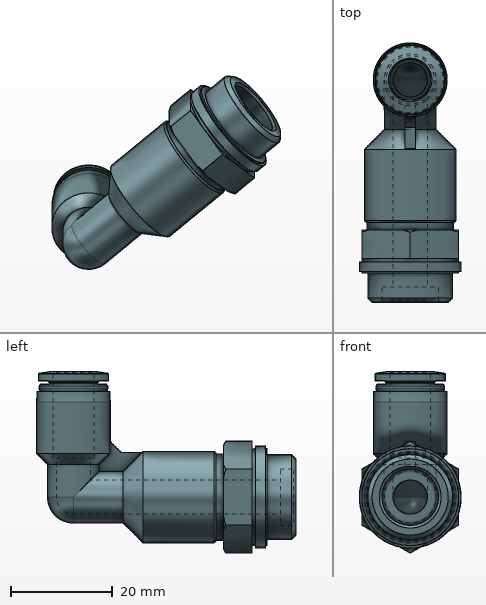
import cadquery as cq
import math


tube_dia = 10.2
bore_dia = 6.7

body_dia = 18.0
body_start = 13.65
body_end = 27.6
shoulder_start = body_start - (body_dia - tube_dia) / 2
body_edge_chamfer = 0.35
swivel_neck_dia = 17.0
hex_across_flats = 19.0
hex_start = 29.45
hex_end = 35.05
hex_face_dia = 20.4
hex_chamfer_angle = 30.0
seal_step_dia = 19.0
seal_dia = 20.0
seal_start = 35.75
seal_end = 37.65
seal_step_end = 37.95
spigot_dia = 16.65
spigot_chamfer = 0.85

socket_dia = 14.5
socket_top_dia = 14.35
socket_start = 8.55
socket_cone_start = socket_start - (socket_dia - tube_dia) / 2
socket_taper_start = 18.7
socket_end = 20.75
ring_root_dia = 13.25
ring_dia = 13.5
ring_start = 21.35
ring_chamfer = 0.3
ring_end = 22.15
release_neck_dia = 9.5
release_neck_top_dia = 10.2
release_flare_start = 22.45
release_dia = 13.8
release_rim_dia = 13.5
release_start = 22.85
release_edge = 24.15
release_rim = 24.3

total_length = 50.95
total_height = 35.65
spigot_end = total_length - socket_dia / 2
hex_corner_radius = hex_across_flats / 2 / math.cos(math.radians(30))
release_top = total_height - hex_corner_radius

spigot_bore_dia = 11.1
spigot_bore_depth = 3.0
spigot_mouth_chamfer = 0.5
tube_bore_dia = 8.0
tube_bore_floor = 7.65
tube_mouth_chamfer = 0.25

web_width = 2.05
web_height = 8.75
web_bend = 9.4


def revolve_upright(profile):
    """Revolve (diameter, height) stations about Z."""
    points = [(dia / 2, height) for dia, height in profile]
    points = [(0, points[0][1])] + points + [(0, points[-1][1])]
    return cq.Workplane("XZ").polyline(points).close().revolve(360, (0, 0), (0, 1))


def revolve_horizontal(profile):
    """Revolve (diameter, distance) stations about Y, with distance running toward -Y."""
    return revolve_upright(profile).rotate((0, 0, 0), (1, 0, 0), 90)


def make_horizontal_arm():
    return revolve_horizontal([
        (tube_dia, 0),
        (tube_dia, shoulder_start),
        (body_dia, body_start),
        (body_dia, body_end),
        (body_dia - 2 * body_edge_chamfer, body_end + body_edge_chamfer),
        (swivel_neck_dia, body_end + body_edge_chamfer),
        (swivel_neck_dia, hex_end),
        (seal_step_dia, hex_end),
        (seal_step_dia, seal_start),
        (seal_dia, seal_start),
        (seal_dia, seal_end),
        (seal_step_dia, seal_end),
        (seal_step_dia, seal_step_end),
        (spigot_dia, seal_step_end),
        (spigot_dia, spigot_end - spigot_chamfer),
        (spigot_dia - 2 * spigot_chamfer, spigot_end),
    ])


def make_hexagon():
    """Hexagon with corners at top and bottom, its edge toward the body chamfered."""
    hexagon = (
        cq.Workplane("XZ", origin=(0, -hex_start, 0))
        .polygon(6, 2 * hex_corner_radius)
        .extrude(hex_end - hex_start)
        .rotate((0, 0, 0), (0, 1, 0), 30)
    )
    corner_drop = hex_corner_radius - hex_face_dia / 2
    chamfer_length = corner_drop * math.tan(math.radians(hex_chamfer_angle))
    envelope = revolve_horizontal([
        (hex_face_dia, hex_start),
        (2 * hex_corner_radius, hex_start + chamfer_length),
        (2 * hex_corner_radius, hex_end),
    ])
    return hexagon.intersect(envelope)


def make_upright_arm():
    return revolve_upright([
        (tube_dia, 0),
        (tube_dia, socket_cone_start),
        (socket_dia, socket_start),
        (socket_dia, socket_taper_start),
        (socket_top_dia, socket_end),
        (ring_root_dia, socket_end),
        (ring_dia, ring_start),
        (ring_dia, ring_end - ring_chamfer),
        (ring_dia - 2 * ring_chamfer, ring_end),
        (release_neck_dia, ring_end),
        (release_neck_dia, release_flare_start),
        (release_neck_top_dia, release_start),
        (release_dia, release_start),
        (release_dia, release_edge),
        (release_rim_dia, release_rim),
        (tube_bore_dia + 2 * tube_mouth_chamfer, release_top),
    ])


def make_web():
    """Plate filling the inside corner, sloping at 45 degrees up to the socket wall."""
    socket_wall = socket_dia / 2
    outline = [
        (0, 0),
        (-body_start, 0),
        (-body_start, web_height),
        (-web_bend, web_height),
        (-socket_wall, web_height + web_bend - socket_wall),
        (0, web_height + web_bend - socket_wall),
    ]
    return cq.Workplane("YZ").polyline(outline).close().extrude(web_width / 2, both=True)


def make_passage():
    """Right-angle bore with a spherical corner and a wider opening at each end."""
    horizontal = revolve_horizontal([
        (bore_dia, 0),
        (bore_dia, spigot_end - spigot_bore_depth),
        (spigot_bore_dia, spigot_end - spigot_bore_depth),
        (spigot_bore_dia, spigot_end - spigot_mouth_chamfer),
        (spigot_bore_dia + 2 * spigot_mouth_chamfer, spigot_end),
    ])
    upright = revolve_upright([
        (bore_dia, 0),
        (bore_dia, tube_bore_floor),
        (tube_bore_dia, tube_bore_floor),
        (tube_bore_dia, release_top - tube_mouth_chamfer),
        (tube_bore_dia + 2 * tube_mouth_chamfer, release_top),
    ])
    return horizontal.union(upright).union(cq.Workplane("XY").sphere(bore_dia / 2))


elbow = make_horizontal_arm().union(make_upright_arm())
elbow = elbow.union(cq.Workplane("XY").sphere(tube_dia / 2))
result = elbow.union(make_hexagon()).union(make_web()).cut(make_passage())